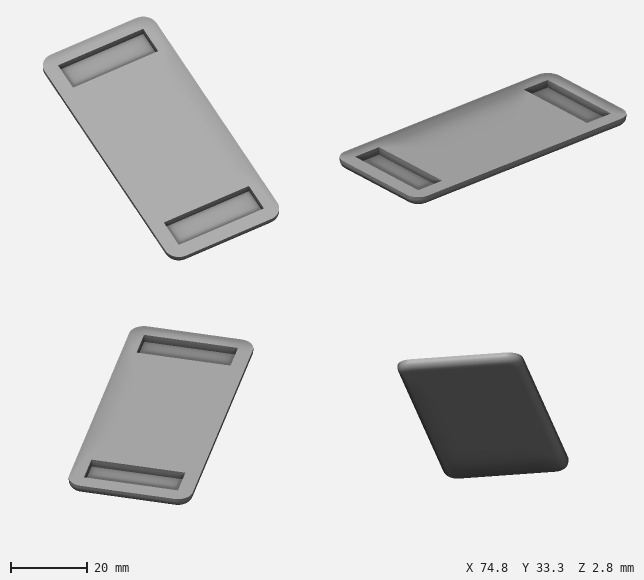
import cadquery as cq

length = 74.8
width = 33.3
thickness = 2.8
corner_radius = 4.0
bottom_edge_radius = 2.0

pocket_margin = 4.0
pocket_length = 8.3
pocket_width = width - 2 * pocket_margin
pocket_depth = 2.2
pocket_offset = length / 2 - pocket_margin - pocket_length / 2


def make_plate():
    """Rounded rectangular plate with its bottom rim rounded over; top face at Z = thickness."""
    plate = cq.Workplane("XY").rect(length, width).extrude(thickness)
    plate = plate.edges("|Z").fillet(corner_radius)
    return plate.faces("<Z").edges().fillet(bottom_edge_radius)


def cut_pockets(plate):
    """Sink a sharp-cornered rectangular pocket at each end of the plate."""
    return (
        plate.faces(">Z")
        .workplane(origin=(0, 0, thickness))
        .pushPoints([(-pocket_offset, 0), (pocket_offset, 0)])
        .rect(pocket_length, pocket_width)
        .cutBlind(-pocket_depth)
    )


result = cut_pockets(make_plate())